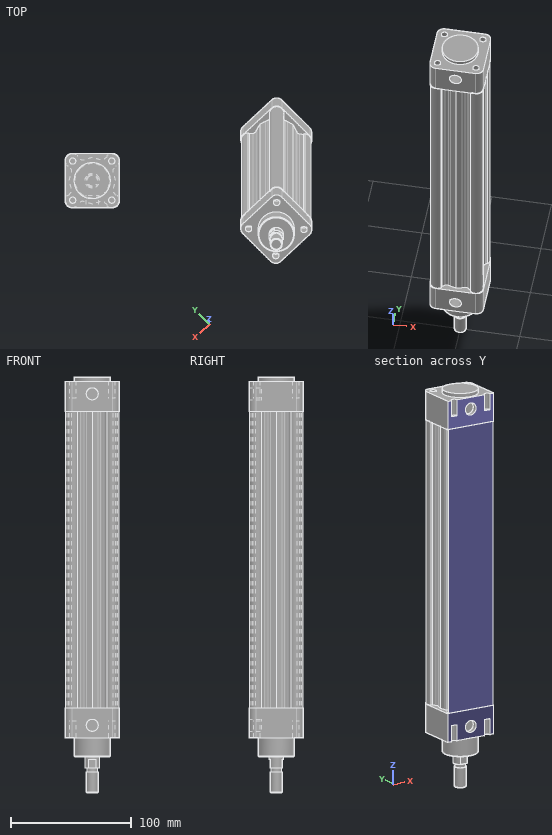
import cadquery as cq
import math

TOTAL_LENGTH = 344.0
REAR_BOSS_HEIGHT = 3.5
CAP_LENGTH = 24.8
TUBE_LENGTH = 245.3
COLLAR_LENGTH = 15.8

REAR_CAP_TOP = TOTAL_LENGTH - REAR_BOSS_HEIGHT
TUBE_TOP = REAR_CAP_TOP - CAP_LENGTH
TUBE_BOTTOM = TUBE_TOP - TUBE_LENGTH
FRONT_CAP_BOTTOM = TUBE_BOTTOM - CAP_LENGTH
COLLAR_BOTTOM = FRONT_CAP_BOTTOM - COLLAR_LENGTH

CAP_WIDTH = 45.0
CAP_CORNER_RADIUS = 6.0
BOSS_DIAMETER = 30.0
COLLAR_CHAMFER = 0.7
BOLT_SPACING = 32.5
BOLT_HOLE_DIAMETER = 5.0
BOLT_HOLE_DEPTH = 13.8
PORT_DIAMETER = 10.0
PORT_DEPTH = 10.3
PORT_INSET = 10.3

TUBE_WIDTH = 44.5
LOBE_CENTER = BOLT_SPACING / 2
LOBE_RADIUS = TUBE_WIDTH / 2 - LOBE_CENTER
LOBE_END_OFFSET = 12.5
LIP = (12.0, 19.5)
VALLEY_OUTER_END = (9.5, 17.5)
VALLEY_INNER_END = (7.0, 17.2)
VALLEY_SAG = 0.5
SHOULDER = (4.8, 18.0)
RIDGE = (0, 19.3)

ROD_DIAMETER = 12.0
ROD_SHANK_LENGTH = 9.3
FLAT_WIDTH = 10.3
FLAT_LENGTH = 7.2
NECK_DIAMETER = 9.0
NECK_LENGTH = 3.0
THREAD_DIAMETER = 10.0
THREAD_CHAMFER = 0.7


def cap_block(bottom):
    return (
        cq.Workplane("XY", origin=(0, 0, bottom))
        .rect(CAP_WIDTH, CAP_WIDTH)
        .extrude(CAP_LENGTH)
        .edges("|Z")
        .fillet(CAP_CORNER_RADIUS)
    )


def port(height):
    """Round cutter for an air port, running inward from the -Y face of a cap."""
    return (
        cq.Workplane("XZ", origin=(0, -CAP_WIDTH / 2, height))
        .circle(PORT_DIAMETER / 2)
        .extrude(-PORT_DEPTH)
    )


def bolt_holes(bottom):
    """Cutters for the four bolt holes at the corners of a cap."""
    return (
        cq.Workplane("XY", origin=(0, 0, bottom))
        .rect(BOLT_SPACING, BOLT_SPACING, forConstruction=True)
        .vertices()
        .circle(BOLT_HOLE_DIAMETER / 2)
        .extrude(BOLT_HOLE_DEPTH)
    )


def build_rear_cap():
    boss = (
        cq.Workplane("XY", origin=(0, 0, REAR_CAP_TOP))
        .circle(BOSS_DIAMETER / 2)
        .extrude(REAR_BOSS_HEIGHT)
    )
    cap = cap_block(TUBE_TOP).union(boss)
    return cap.cut(port(REAR_CAP_TOP - PORT_INSET)).cut(bolt_holes(REAR_CAP_TOP - BOLT_HOLE_DEPTH))


def build_front_cap():
    collar = (
        cq.Workplane("XY", origin=(0, 0, COLLAR_BOTTOM))
        .circle(BOSS_DIAMETER / 2)
        .extrude(COLLAR_LENGTH)
        .faces("<Z")
        .chamfer(COLLAR_CHAMFER)
    )
    cap = cap_block(FRONT_CAP_BOTTOM).union(collar)
    return cap.cut(port(FRONT_CAP_BOTTOM + PORT_INSET)).cut(bolt_holes(FRONT_CAP_BOTTOM))


def build_tube():
    lobe_end = (
        LOBE_END_OFFSET,
        LOBE_CENTER + math.sqrt(LOBE_RADIUS**2 - (LOBE_CENTER - LOBE_END_OFFSET) ** 2),
    )
    lobe_middle = (LOBE_CENTER + LOBE_RADIUS * math.sqrt(0.5),) * 2
    valley_floor = (
        (VALLEY_INNER_END[0] + VALLEY_OUTER_END[0]) / 2,
        (VALLEY_INNER_END[1] + VALLEY_OUTER_END[1]) / 2 - VALLEY_SAG,
    )

    def on_side(point, side):
        """Turn a point clockwise about the axis, from the +Y side to another side."""
        x, y = point
        for _ in range(side):
            x, y = y, -x
        return x, y

    def mirrored(point):
        return -point[0], point[1]

    profile = cq.Workplane("XY", origin=(0, 0, TUBE_BOTTOM)).moveTo(*mirrored(lobe_end))
    for side in range(4):
        profile = (
            profile.lineTo(*on_side(mirrored(LIP), side))
            .lineTo(*on_side(mirrored(VALLEY_OUTER_END), side))
            .threePointArc(
                on_side(mirrored(valley_floor), side),
                on_side(mirrored(VALLEY_INNER_END), side),
            )
            .lineTo(*on_side(mirrored(SHOULDER), side))
            .lineTo(*on_side(RIDGE, side))
            .lineTo(*on_side(SHOULDER, side))
            .lineTo(*on_side(VALLEY_INNER_END, side))
            .threePointArc(on_side(valley_floor, side), on_side(VALLEY_OUTER_END, side))
            .lineTo(*on_side(LIP, side))
            .lineTo(*on_side(lobe_end, side))
            .threePointArc(on_side(lobe_middle, side), on_side(mirrored(lobe_end), side + 1))
        )
    return profile.close().extrude(TUBE_LENGTH)


def build_rod():
    neck_top = COLLAR_BOTTOM - ROD_SHANK_LENGTH
    thread_top = neck_top - NECK_LENGTH
    flat_depth = (ROD_DIAMETER - FLAT_WIDTH) / 2
    flat_center = (FLAT_WIDTH + flat_depth) / 2
    shank = (
        cq.Workplane("XY", origin=(0, 0, neck_top))
        .circle(ROD_DIAMETER / 2)
        .extrude(ROD_SHANK_LENGTH)
    )
    flat_cuts = (
        cq.Workplane("XY", origin=(0, 0, neck_top))
        .pushPoints([(0, -flat_center), (0, flat_center)])
        .rect(ROD_DIAMETER, flat_depth)
        .extrude(FLAT_LENGTH)
    )
    neck = (
        cq.Workplane("XY", origin=(0, 0, thread_top))
        .circle(NECK_DIAMETER / 2)
        .extrude(NECK_LENGTH)
    )
    thread = (
        cq.Workplane("XY")
        .circle(THREAD_DIAMETER / 2)
        .extrude(thread_top)
        .faces("<Z")
        .chamfer(THREAD_CHAMFER)
    )
    return shank.cut(flat_cuts).union(neck).union(thread)


rear_cap = build_rear_cap()
tube = build_tube()
front_cap = build_front_cap()
rod = build_rod()

result = cq.Compound.makeCompound([rear_cap.val(), tube.val(), front_cap.val(), rod.val()])